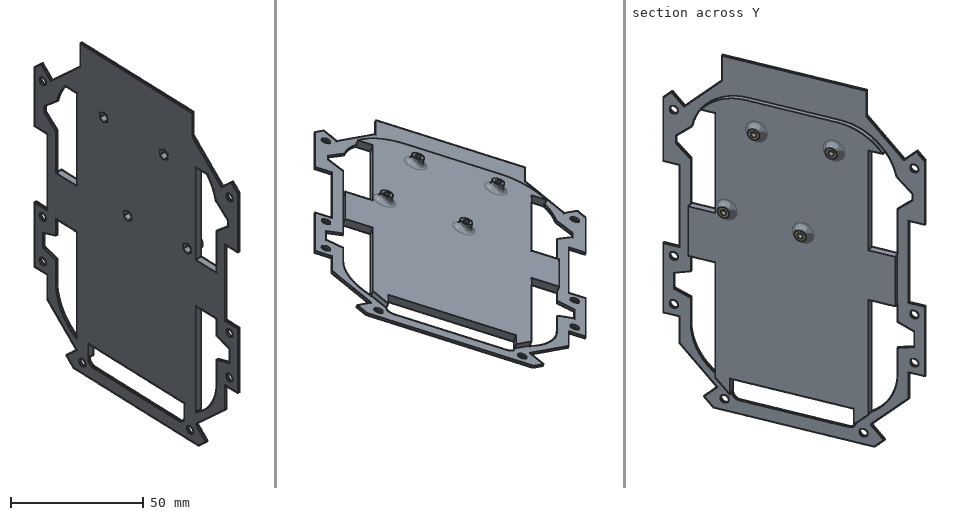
import cadquery as cq
import math

HALF_WIDTH = 54.5
HEIGHT = 158.8
TOTAL_DEPTH = 6.0
FRAME_THICKNESS = 1.0
PANEL_BACK = 3.0

TAB_HALF_WIDTH = 30.0
TAB_BOTTOM = 147.5
NOTCH_DEPTH = 15.7
EAR_RISE = 5.2
EAR_BOTTOM = 105.1
WAIST_HALF_WIDTH = 47.6
SIDE_TAB_TOP = 68.3
SIDE_TAB_BOTTOM = 37.2
FOOT_SLOPE_TOP = 25.2
FOOT_SLOPE_RUN = 15.7
FOOT_TIP_HALF_WIDTH = 37.5
FOOT_TIP_Z = 4.0

WINDOW_INNER = 31.9
WINDOW_OUTER = 43.0
ARC_RADIUS = 24.0
ARC_CENTER_X = WINDOW_OUTER - ARC_RADIUS

UPPER_WINDOW_TOP = 133.7
UPPER_WINDOW_BOTTOM = 89.0
UPPER_ARC_CENTER_Z = 119.0
UPPER_NOTCH_OUTER = 49.2
UPPER_NOTCH_TOP = 123.7
UPPER_NOTCH_BOTTOM = 109.1
UPPER_NOTCH_FLAT_TOP = 117.7
UPPER_NOTCH_FLAT_BOTTOM = 114.7

LOWER_WINDOW_TOP = 66.7
LOWER_ARC_CENTER_Z = 35.4
LOWER_ARC_END_Z = LOWER_ARC_CENTER_Z - math.sqrt(ARC_RADIUS**2 - (WINDOW_INNER - ARC_CENTER_X)**2)
LOWER_NOTCH_OUTER = 50.0
LOWER_NOTCH_TOP = 58.6
LOWER_NOTCH_BOTTOM = 46.8
LOWER_NOTCH_FLAT_TOP = 56.0
LOWER_NOTCH_FLAT_BOTTOM = 49.0

SLOT_HALF_WIDTH = 25.7
SLOT_TOP = 16.2
SLOT_BOTTOM = 6.0
SLOT_CORNER_RADIUS = 3.0

MOUNT_HOLE_DIAMETER = 3.5
MOUNT_HOLES = [(50.0, 129.3), (50.0, 63.7), (50.0, 42.1), (28.9, 5.1)]

BOSS_DIAMETER = 5.0
BOSS_FILLET = 2.0
BOSS_HOLE_DIAMETER = 2.2
BOSSES = [(-17.5, 130.0), (14.8, 130.0), (-4.6, 89.7), (27.3, 91.8)]
NUT_ACROSS_FLATS = 4.1
NUT_POCKET_DEPTH = 3.0


def upper_arc_point(z):
    """Point at height z on the arc shared by the upper windows and the panel shoulders."""
    return (ARC_CENTER_X + math.sqrt(ARC_RADIUS**2 - (z - UPPER_ARC_CENTER_Z)**2), z)


def arc_middle(center_z, start, end):
    """Point of a window arc halfway between two of its points."""
    angles = [math.atan2(z - center_z, x - ARC_CENTER_X) for x, z in (start, end)]
    angle = sum(angles) / 2
    return (
        ARC_CENTER_X + ARC_RADIUS * math.cos(angle),
        center_z + ARC_RADIUS * math.sin(angle),
    )


def front_plane(y=0.0):
    """XZ workplane at depth y; extrusions with a negative distance go towards +Y."""
    return cq.Workplane("XZ", origin=(0, y, 0))


def with_mirror(half):
    """Right half joined to its mirror image on the left."""
    return half.union(half.mirror("YZ"))


def frame_blank():
    notch_x = TAB_HALF_WIDTH + NOTCH_DEPTH
    notch_z = TAB_BOTTOM - NOTCH_DEPTH
    peak_x = notch_x + EAR_RISE
    peak_z = notch_z + EAR_RISE
    half = (
        front_plane()
        .polyline([
            (0, HEIGHT),
            (TAB_HALF_WIDTH, HEIGHT),
            (TAB_HALF_WIDTH, TAB_BOTTOM),
            (notch_x, notch_z),
            (peak_x, peak_z),
            (HALF_WIDTH, peak_z - (HALF_WIDTH - peak_x)),
            (HALF_WIDTH, EAR_BOTTOM),
            (WAIST_HALF_WIDTH, EAR_BOTTOM),
            (WAIST_HALF_WIDTH, SIDE_TAB_TOP),
            (HALF_WIDTH, SIDE_TAB_TOP),
            (HALF_WIDTH, SIDE_TAB_BOTTOM),
            (WAIST_HALF_WIDTH, SIDE_TAB_BOTTOM),
            (WAIST_HALF_WIDTH, FOOT_SLOPE_TOP),
            (WAIST_HALF_WIDTH - FOOT_SLOPE_RUN, FOOT_SLOPE_TOP - FOOT_SLOPE_RUN),
            (FOOT_TIP_HALF_WIDTH, FOOT_TIP_Z),
            (FOOT_TIP_HALF_WIDTH - FOOT_TIP_Z, 0),
            (0, 0),
        ])
        .close()
        .extrude(-FRAME_THICKNESS)
    )
    return with_mirror(half)


def upper_windows():
    arc_start = upper_arc_point(UPPER_WINDOW_TOP)
    arc_end = upper_arc_point(UPPER_NOTCH_TOP)
    window = (
        front_plane()
        .moveTo(WINDOW_INNER, UPPER_WINDOW_BOTTOM)
        .lineTo(WINDOW_INNER, UPPER_WINDOW_TOP)
        .lineTo(*arc_start)
        .threePointArc(arc_middle(UPPER_ARC_CENTER_Z, arc_start, arc_end), arc_end)
        .lineTo(UPPER_NOTCH_OUTER, UPPER_NOTCH_FLAT_TOP)
        .lineTo(UPPER_NOTCH_OUTER, UPPER_NOTCH_FLAT_BOTTOM)
        .lineTo(WINDOW_OUTER, UPPER_NOTCH_BOTTOM)
        .lineTo(WINDOW_OUTER, UPPER_WINDOW_BOTTOM)
        .close()
        .extrude(-FRAME_THICKNESS)
    )
    return with_mirror(window)


def lower_windows():
    arc_start = (WINDOW_OUTER, LOWER_ARC_CENTER_Z)
    arc_end = (WINDOW_INNER, LOWER_ARC_END_Z)
    window = (
        front_plane()
        .moveTo(WINDOW_INNER, LOWER_WINDOW_TOP)
        .lineTo(WINDOW_OUTER, LOWER_WINDOW_TOP)
        .lineTo(WINDOW_OUTER, LOWER_NOTCH_TOP)
        .lineTo(LOWER_NOTCH_OUTER, LOWER_NOTCH_FLAT_TOP)
        .lineTo(LOWER_NOTCH_OUTER, LOWER_NOTCH_FLAT_BOTTOM)
        .lineTo(WINDOW_OUTER, LOWER_NOTCH_BOTTOM)
        .lineTo(*arc_start)
        .threePointArc(arc_middle(LOWER_ARC_CENTER_Z, arc_start, arc_end), arc_end)
        .close()
        .extrude(-FRAME_THICKNESS)
    )
    return with_mirror(window)


def slot():
    """Slot above the foot, rounded at its two lower corners."""
    return (
        front_plane()
        .center(0, (SLOT_TOP + SLOT_BOTTOM) / 2)
        .rect(2 * SLOT_HALF_WIDTH, SLOT_TOP - SLOT_BOTTOM)
        .extrude(-FRAME_THICKNESS)
        .edges("|Y and <Z")
        .fillet(SLOT_CORNER_RADIUS)
    )


def mount_holes():
    points = [(side * x, z) for x, z in MOUNT_HOLES for side in (-1, 1)]
    return front_plane().pushPoints(points).circle(MOUNT_HOLE_DIAMETER / 2).extrude(-FRAME_THICKNESS)


def stiffening_panel():
    """Thicker centre panel behind the frame, with a crossbar and two legs beside the slot."""
    top = UPPER_ARC_CENTER_Z + ARC_RADIUS
    arc_start = (ARC_CENTER_X, top)
    arc_end = upper_arc_point(UPPER_WINDOW_TOP)
    half = (
        front_plane(FRAME_THICKNESS)
        .moveTo(0, top)
        .lineTo(*arc_start)
        .threePointArc(arc_middle(UPPER_ARC_CENTER_Z, arc_start, arc_end), arc_end)
        .lineTo(WINDOW_INNER, UPPER_WINDOW_TOP)
        .lineTo(WINDOW_INNER, UPPER_WINDOW_BOTTOM)
        .lineTo(WINDOW_OUTER, UPPER_WINDOW_BOTTOM)
        .lineTo(WINDOW_OUTER, LOWER_WINDOW_TOP)
        .lineTo(WINDOW_INNER, LOWER_WINDOW_TOP)
        .lineTo(WINDOW_INNER, LOWER_ARC_END_Z)
        .lineTo(SLOT_HALF_WIDTH, SLOT_BOTTOM + SLOT_CORNER_RADIUS)
        .lineTo(SLOT_HALF_WIDTH, SLOT_TOP)
        .lineTo(0, SLOT_TOP)
        .close()
        .extrude(FRAME_THICKNESS - PANEL_BACK)
    )
    return with_mirror(half)


def boss(x, z):
    """Round boss with a concave fillet at its foot, revolved about its own axis along Y."""
    radius = BOSS_DIAMETER / 2
    foot_radius = radius + BOSS_FILLET
    fillet_end = PANEL_BACK + BOSS_FILLET
    fillet_offset = BOSS_FILLET * math.sqrt(0.5)
    fillet_middle = (foot_radius - fillet_offset, fillet_end - fillet_offset)
    return (
        cq.Workplane("XY")
        .moveTo(0, PANEL_BACK)
        .lineTo(foot_radius, PANEL_BACK)
        .threePointArc(fillet_middle, (radius, fillet_end))
        .lineTo(radius, TOTAL_DEPTH)
        .lineTo(0, TOTAL_DEPTH)
        .close()
        .revolve(360, (0, 0, 0), (0, 1, 0))
        .translate((x, 0, z))
    )


def screw_holes():
    return front_plane().pushPoints(BOSSES).circle(BOSS_HOLE_DIAMETER / 2).extrude(-TOTAL_DEPTH)


def nut_pockets():
    """Hexagonal pockets in the front face, with corners pointing up and down."""
    circumscribed_diameter = NUT_ACROSS_FLATS / math.cos(math.pi / 6)
    hexagon = cq.Sketch().regularPolygon(circumscribed_diameter / 2, 6)
    return front_plane().pushPoints(BOSSES).placeSketch(hexagon).extrude(-NUT_POCKET_DEPTH)


frame = frame_blank().cut(upper_windows()).cut(lower_windows()).cut(slot()).cut(mount_holes())
result = frame.union(stiffening_panel())
for boss_x, boss_z in BOSSES:
    result = result.union(boss(boss_x, boss_z))
result = result.cut(screw_holes()).cut(nut_pockets())